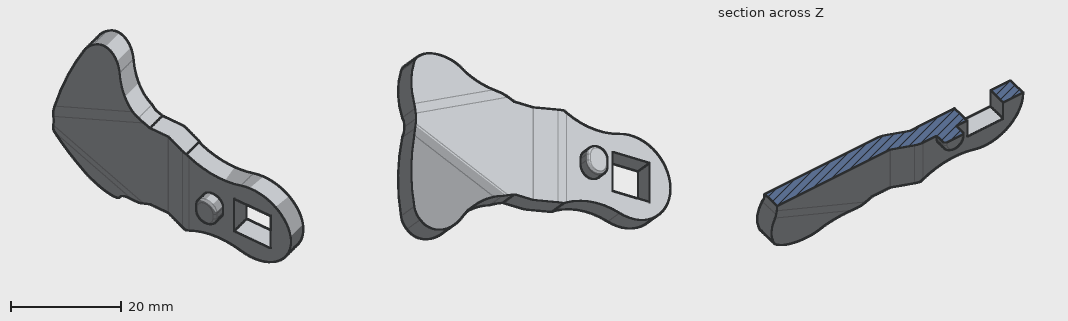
import cadquery as cq
import math


sheet = 4.0
inner_bend = 0.4
outer_bend = inner_bend + sheet
overall_length = 53.82

hub_radius = 8.5
waist_radius = 15.0
square_side = 8.0
neck_half_width = 9.5
waist_start_x = -14.5

step = 2.0
step_angle = 21.6
hub_bend_x = -13.98

wing_angle = 27.0
fold_slope = 24.2
fold_half_gap = 1.02
handle_end_x = hub_radius - overall_length
notch_depth = 0.2

notch_center = (handle_end_x + notch_depth, 0)
edge_start = (handle_end_x, 2.03)
edge_middle = (-44.5, 8.1)
edge_end = (-42.15, 14.86)
shoulder_middle = (-41.45, 16.0)
tip_start = (-40.5, 16.85)
tip_top = (-37.5, 17.995)
tip_end = (-33.1, 15.5)
flank_middle = (-30.4, 12.25)
flank_end = (-26.5, 10.55)
neck_start = (-23.9, neck_half_width)

pin_x = -8.68
pin_width = 4.5
pin_height = 5.7
pin_length = 2.5
pin_fillet = 0.55

reach = 2 * overall_length


def waist_points():
    """Middle and end of the waist arc, which starts at the neck and is tangent to the hub."""
    center_distance = hub_radius + waist_radius
    neck_distance = math.hypot(waist_start_x, neck_half_width)
    neck_direction = math.atan2(neck_half_width, waist_start_x)
    squares = center_distance**2 + neck_distance**2 - waist_radius**2
    direction = neck_direction - math.acos(squares / (2 * center_distance * neck_distance))
    center_x = center_distance * math.cos(direction)
    center_z = center_distance * math.sin(direction)
    middle = (center_x, center_z - waist_radius)
    end = (hub_radius * math.cos(direction), hub_radius * math.sin(direction))
    return middle, end


def below(point):
    """The matching point on the other side of the centre line."""
    return point[0], -point[1]


def lever_outline():
    """Lever outline, symmetric about the centre line, extruded through the bent sheet."""
    waist_middle, waist_end = waist_points()
    waist_start = (waist_start_x, neck_half_width)
    return (
        cq.Workplane("XZ")
        .moveTo(*notch_center)
        .lineTo(*edge_start)
        .threePointArc(edge_middle, edge_end)
        .threePointArc(shoulder_middle, tip_start)
        .threePointArc(tip_top, tip_end)
        .threePointArc(flank_middle, flank_end)
        .lineTo(*neck_start)
        .lineTo(*waist_start)
        .threePointArc(waist_middle, waist_end)
        .threePointArc((hub_radius, 0), below(waist_end))
        .threePointArc(below(waist_middle), below(waist_start))
        .lineTo(*below(neck_start))
        .lineTo(*below(flank_end))
        .threePointArc(below(flank_middle), below(tip_end))
        .threePointArc(below(tip_top), below(tip_start))
        .threePointArc(below(shoulder_middle), below(edge_end))
        .threePointArc(below(edge_middle), below(edge_start))
        .close()
        .extrude(reach, both=True)
    )


def bend_point(center, radius, angle):
    """Point of a bend arc, turned by an angle in degrees from straight below its centre."""
    turn = math.radians(angle)
    return center[0] + radius * math.sin(turn), center[1] - radius * math.cos(turn)


def stepped_plate():
    """Hub and handle plates with the bent step between them."""
    angle = math.radians(step_angle)
    bend_sum = inner_bend + outer_bend
    ramp_run = (step - bend_sum * (1 - math.cos(angle))) / math.tan(angle)
    handle_bend_x = hub_bend_x - bend_sum * math.sin(angle) - ramp_run
    hub_center = (hub_bend_x, outer_bend)
    handle_center = (handle_bend_x, step - inner_bend)

    def hub_arc(radius, share):
        return bend_point(hub_center, radius, -step_angle * share)

    def handle_arc(radius, share):
        return bend_point(handle_center, radius, 180 - step_angle * share)

    return (
        cq.Workplane("XY")
        .moveTo(reach, 0)
        .lineTo(*hub_arc(outer_bend, 0))
        .threePointArc(hub_arc(outer_bend, 0.5), hub_arc(outer_bend, 1))
        .lineTo(*handle_arc(inner_bend, 1))
        .threePointArc(handle_arc(inner_bend, 0.5), handle_arc(inner_bend, 0))
        .lineTo(-reach, step)
        .lineTo(-reach, step + sheet)
        .lineTo(*handle_arc(outer_bend, 0))
        .threePointArc(handle_arc(outer_bend, 0.5), handle_arc(outer_bend, 1))
        .lineTo(*hub_arc(inner_bend, 1))
        .threePointArc(hub_arc(inner_bend, 0.5), hub_arc(inner_bend, 0))
        .lineTo(reach, sheet)
        .close()
        .extrude(reach, both=True)
    )


def fold_plane():
    """Plane square to the fold line: local x points out along the wing, local y along +Y."""
    slope = math.radians(fold_slope)
    outward = (-math.sin(slope), 0, math.cos(slope))
    against_fold = (-math.cos(slope), 0, -math.sin(slope))
    return cq.Plane(origin=(handle_end_x, 0, fold_half_gap), xDir=outward, normal=against_fold)


def beyond_fold():
    """Everything outward of the fold line."""
    return cq.Workplane(fold_plane()).center(reach / 2, 0).rect(reach, 2 * reach).extrude(reach, both=True)


def bent_wing():
    """Bend and flat of the wing, running along the whole fold line."""
    center = (0, step + outer_bend)
    front_bend_end = bend_point(center, outer_bend, wing_angle)
    back_bend_end = bend_point(center, inner_bend, wing_angle)
    run = reach * math.cos(math.radians(wing_angle))
    rise = reach * math.sin(math.radians(wing_angle))
    return (
        cq.Workplane(fold_plane())
        .moveTo(0, step)
        .threePointArc(bend_point(center, outer_bend, wing_angle / 2), front_bend_end)
        .line(run, rise)
        .lineTo(back_bend_end[0] + run, back_bend_end[1] + rise)
        .lineTo(*back_bend_end)
        .threePointArc(bend_point(center, inner_bend, wing_angle / 2), (0, step + sheet))
        .close()
        .extrude(reach, both=True)
    )


def lever_body():
    """Stepped plate with both wings bent back, trimmed to the lever outline."""
    upper_cutter = beyond_fold()
    plate = stepped_plate().cut(upper_cutter).cut(upper_cutter.mirror("XY"))
    outline = lever_outline()
    wing = bent_wing().intersect(outline)
    return plate.intersect(outline).union(wing).union(wing.mirror("XY"))


def square_hole():
    """Square drive hole through the hub."""
    return cq.Workplane("XZ").rect(square_side, square_side).extrude(reach, both=True)


def locating_pin():
    """Obround pin, long along Z, standing on the front face with a rounded end."""
    return (
        cq.Workplane("XZ")
        .center(pin_x, 0)
        .slot2D(pin_height, pin_width, 90)
        .extrude(pin_length)
        .faces("<Y")
        .edges()
        .fillet(pin_fillet)
    )


result = lever_body().cut(square_hole()).union(locating_pin())